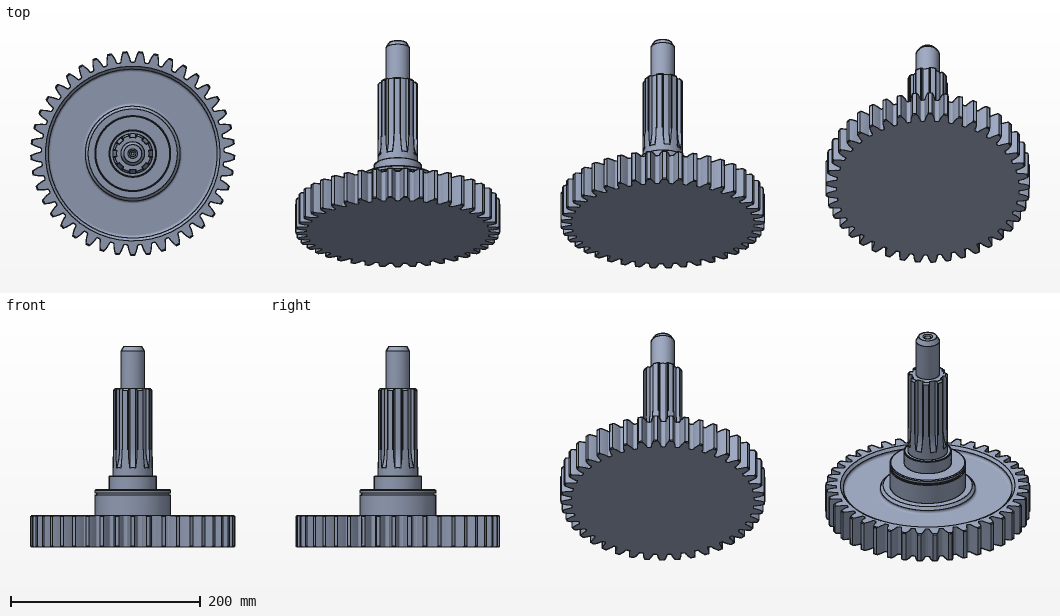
import cadquery as cq
import math

module = 5.0
tooth_count = 41
pressure_angle = math.radians(20)
face_width = 33.0
tip_chamfer = 1.0
pitch_radius = module * tooth_count / 2
base_radius = pitch_radius * math.cos(pressure_angle)
tip_radius = pitch_radius + module
root_radius = pitch_radius - 1.25 * module
root_fillet = 1.5
gap_overrun = 1.0
flank_points = 6

recess_depth = 7.0
recess_inner_radius = 100 / 2
recess_outer_radius = 178 / 2
recess_chamfer = 3.0
recess_fillet = 3.0

collar_radius = 80 / 2
collar_top = 60.5
collar_chamfer = 1.0
ring_groove_radius = 76.5 / 2
ring_groove_bottom = 54.7
ring_groove_width = 2.15
journal_radius = 50 / 2
journal_top = 74.8
journal_chamfer_width = 1.0
journal_chamfer_height = 0.6
spline_radius = 42 / 2
spline_top = 166.8
spline_chamfer = 2.0
pin_radius = 25 / 2
pin_tip_radius = 19 / 2
pin_tip_length = 5.2
total_height = 211.5

groove_count = 8
spline_tooth_width = 7.0
spline_tip_break = 0.5
groove_floor_radius = 17.0
groove_floor_half_width = 2.6
groove_relief = 0.2
groove_overrun = 2.0
groove_straight_end = 103.0
groove_end = 83.6

centre_mouth_radius = 10.0 / 2
centre_cone_radius = 6.7 / 2
centre_drill_radius = 3.15 / 2
centre_depth = 8.0
mouth_half_angle = math.radians(60)
cone_half_angle = math.radians(30)
drill_point_half_angle = math.radians(59)


def polar(radius, angle):
    return (radius * math.cos(angle), radius * math.sin(angle))


def revolve_profile(points):
    """Solid of revolution about Z from (radius, height) points."""
    return cq.Workplane("XZ").polyline(points).close().revolve(360, (0, 0, 0), (0, 1, 0))


def cut_around(body, cutter, count):
    for i in range(count):
        body = body.cut(cutter.rotate((0, 0, 0), (0, 0, 1), i * 360 / count))
    return body


def involute_angle(radius):
    roll = math.acos(min(1.0, base_radius / radius))
    return math.tan(roll) - roll


def gap_half_angle(radius):
    pitch_half_angle = math.pi / (2 * tooth_count)
    return pitch_half_angle - (involute_angle(pitch_radius) - involute_angle(radius))


def tooth_gap():
    """Gap between two involute teeth, centred on +Y, with rounded root corners."""
    step = (tip_radius + gap_overrun - base_radius) / (flank_points - 1)
    radii = [base_radius + i * step for i in range(flank_points)]
    middle = math.pi / 2
    left = [polar(r, middle + gap_half_angle(r)) for r in radii]
    right = [polar(r, middle - gap_half_angle(r)) for r in radii]
    gap = (
        cq.Workplane("XY")
        .moveTo(*left[-1])
        .spline(left[-2::-1], includeCurrent=True)
        .threePointArc((0, root_radius), right[0])
        .spline(right[1:], includeCurrent=True)
        .close()
        .extrude(face_width)
    )
    root_corners = cq.selectors.BoxSelector(
        (-module, 0, 0), (module, base_radius + root_fillet, face_width)
    )
    return gap.edges("|Z").edges(root_corners).fillet(root_fillet)


def gear():
    blank = (
        cq.Workplane("XY").circle(tip_radius).extrude(face_width)
        .faces("<Z or >Z").chamfer(tip_chamfer)
    )
    return cut_around(blank, tooth_gap(), tooth_count)


def face_recess():
    """Ring pocket with a filleted floor and chamfered rims."""
    recess = (
        cq.Workplane("XY", origin=(0, 0, face_width - recess_depth))
        .circle(recess_outer_radius).circle(recess_inner_radius).extrude(recess_depth)
        .faces("<Z").edges().fillet(recess_fillet)
    )
    chamfer_bottom = face_width - recess_chamfer
    rims = revolve_profile([
        (recess_inner_radius - recess_chamfer, face_width),
        (recess_inner_radius, chamfer_bottom),
        (recess_outer_radius, chamfer_bottom),
        (recess_outer_radius + recess_chamfer, face_width),
    ])
    return recess.union(rims)


def shaft():
    ring_groove_top = ring_groove_bottom + ring_groove_width
    return revolve_profile([
        (0, 0),
        (collar_radius, 0),
        (collar_radius, ring_groove_bottom),
        (ring_groove_radius, ring_groove_bottom),
        (ring_groove_radius, ring_groove_top),
        (collar_radius, ring_groove_top),
        (collar_radius, collar_top - collar_chamfer),
        (collar_radius - collar_chamfer, collar_top),
        (journal_radius, collar_top),
        (journal_radius, journal_top - journal_chamfer_height),
        (journal_radius - journal_chamfer_width, journal_top),
        (spline_radius, journal_top),
        (spline_radius, spline_top - spline_chamfer),
        (spline_radius - spline_chamfer, spline_top),
        (pin_radius, spline_top),
        (pin_radius, total_height - pin_tip_length),
        (pin_tip_radius, total_height),
        (0, total_height),
    ])


def groove_half_width(radial):
    """Half width, at a radial distance, of the gap between two parallel-sided spline teeth."""
    half_pitch = math.pi / groove_count
    return radial * math.tan(half_pitch) - spline_tooth_width / 2 / math.cos(half_pitch)


def groove_section():
    """Groove outline: concentric floor, relieved corners and flanks running past the shaft."""
    floor_x = math.sqrt(groove_floor_radius**2 - groove_floor_half_width**2)
    relief_x = floor_x - groove_relief
    relief_y = groove_half_width(relief_x)
    outer_x = spline_radius + groove_overrun
    outer_y = groove_half_width(outer_x)
    return (
        cq.Workplane("XY", origin=(0, 0, groove_straight_end))
        .moveTo(floor_x, -groove_floor_half_width)
        .threePointArc((groove_floor_radius, 0), (floor_x, groove_floor_half_width))
        .lineTo(relief_x, relief_y)
        .lineTo(outer_x, outer_y)
        .lineTo(outer_x, -outer_y)
        .lineTo(relief_x, -relief_y)
        .close()
    )


def spline_tip_breaks():
    """Bevel cut on the two tooth tips beside a groove."""
    tip_x = math.sqrt(spline_radius**2 - groove_half_width(spline_radius)**2)
    inner_x = tip_x - spline_tip_break
    outer_x = spline_radius + groove_overrun
    inner_y = groove_half_width(inner_x)
    bevel_angle = math.pi / 4 + math.pi / groove_count
    outer_y = inner_y + (outer_x - inner_x) * math.tan(bevel_angle)
    return (
        cq.Workplane("XY", origin=(0, 0, groove_straight_end))
        .polyline([(inner_x, -inner_y), (outer_x, -outer_y), (outer_x, outer_y), (inner_x, inner_y)])
        .close()
        .extrude(spline_top - groove_straight_end)
    )


def spline_groove():
    """Groove open at the top of the spline, ramping out below along the radius of a disc cutter."""
    run_out_depth = spline_radius - groove_floor_radius
    run_out_length = groove_straight_end - groove_end
    cutter_radius = (run_out_length**2 + run_out_depth**2) / (2 * run_out_depth)
    cutter_axis = groove_floor_radius + cutter_radius
    straight = groove_section().extrude(spline_top - groove_straight_end)
    run_out = groove_section().revolve(90, (cutter_axis, 1, 0), (cutter_axis, 0, 0))
    return straight.union(run_out).union(spline_tip_breaks())


def centre_drilling():
    """Centre hole with a protective mouth cone, a centring cone and a pointed pilot drill."""
    cone_top = total_height - (centre_mouth_radius - centre_cone_radius) / math.tan(mouth_half_angle)
    drill_top = cone_top - (centre_cone_radius - centre_drill_radius) / math.tan(cone_half_angle)
    drill_bottom = total_height - centre_depth
    drill_point = drill_bottom - centre_drill_radius / math.tan(drill_point_half_angle)
    return revolve_profile([
        (0, total_height),
        (centre_mouth_radius, total_height),
        (centre_cone_radius, cone_top),
        (centre_drill_radius, drill_top),
        (centre_drill_radius, drill_bottom),
        (0, drill_point),
    ])


result = gear().cut(face_recess()).union(shaft())
result = cut_around(result, spline_groove(), groove_count)
result = result.cut(centre_drilling())